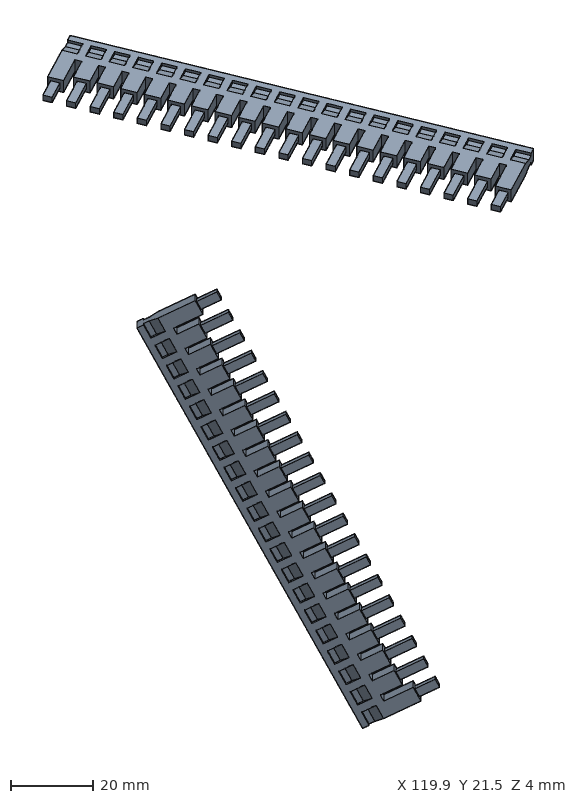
import cadquery as cq

tooth_count = 20
bar_length = 119.9
total_width = 21.5
thickness = 4.0

window_width = 4.0
window_depth = 0.8
tooth_width = 4.3
pin_width = 2.4
pin_thickness = 1.8

window_start = 1.8
window_floor_end = 3.4
window_ramp_end = 5.8
slot_start = 7.9
inner_tooth_end = 13.9
end_tooth_end = 16.0

pitch = (bar_length - window_width) / (tooth_count - 1)
slot_width = pitch - tooth_width
back_y = total_width / 2
top_z = thickness / 2
tooth_centers = [(i - (tooth_count - 1) / 2) * pitch for i in range(tooth_count)]
inner_tooth_centers = tooth_centers[1:-1]
slot_centers = [x + pitch / 2 for x in tooth_centers[:-1]]


def block(center_x, width, start, end, height):
    """Box centred on Z = 0 between two distances from the back face."""
    return cq.Workplane("XY").box(width, end - start, height).translate(
        (center_x, back_y - (start + end) / 2, 0)
    )


def window(center_x):
    """Recess in the top face with a flat floor and a ramp rising toward the teeth."""
    floor_z = top_z - window_depth
    return (
        cq.Workplane("YZ", origin=(center_x, 0, 0))
        .moveTo(back_y - window_start, top_z)
        .lineTo(back_y - window_start, floor_z)
        .lineTo(back_y - window_floor_end, floor_z)
        .lineTo(back_y - window_ramp_end, top_z)
        .close()
        .extrude(window_width / 2, both=True)
    )


body = block(0, bar_length, 0, end_tooth_end, thickness)
for x in slot_centers:
    body = body.cut(block(x, slot_width, slot_start, end_tooth_end, thickness))
for x in inner_tooth_centers:
    body = body.cut(block(x, tooth_width, inner_tooth_end, end_tooth_end, thickness))

for x in tooth_centers:
    top_window = window(x)
    body = body.cut(top_window).cut(top_window.mirror("XY"))

for x in tooth_centers:
    body = body.union(block(x, pin_width, slot_start, total_width, pin_thickness))

result = body